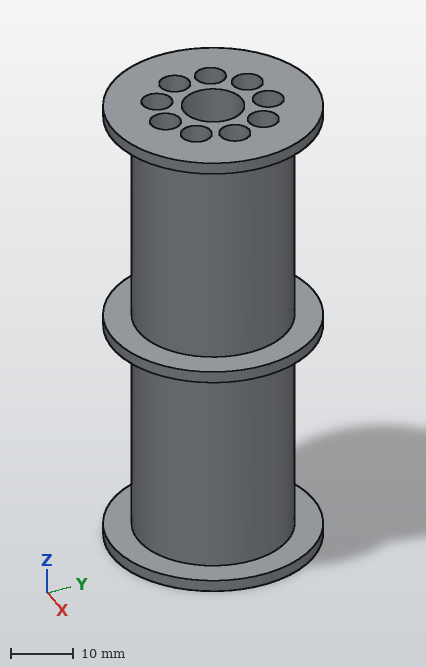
import cadquery as cq

total_height = 80.0
flange_diameter = 35.0
flange_thickness = 2.0
core_diameter = 26.0
bore_diameter = 10.0
hole_diameter = 5.0
hole_circle_diameter = 18.0
hole_count = 9

top_flange_base = total_height - flange_thickness
flange_bases = (0, top_flange_base / 2, top_flange_base)


def make_flange(base):
    """Flat disc whose bottom face lies at height `base`."""
    return (
        cq.Workplane("XY")
        .workplane(offset=base)
        .circle(flange_diameter / 2)
        .extrude(flange_thickness)
    )


body = cq.Workplane("XY").circle(core_diameter / 2).extrude(total_height)
for flange_base in flange_bases:
    body = body.union(make_flange(flange_base))

bore = cq.Workplane("XY").circle(bore_diameter / 2).extrude(total_height)
ring_holes = (
    cq.Workplane("XY")
    .polarArray(hole_circle_diameter / 2, 0, 360, hole_count)
    .circle(hole_diameter / 2)
    .extrude(total_height)
)

result = body.cut(bore).cut(ring_holes)